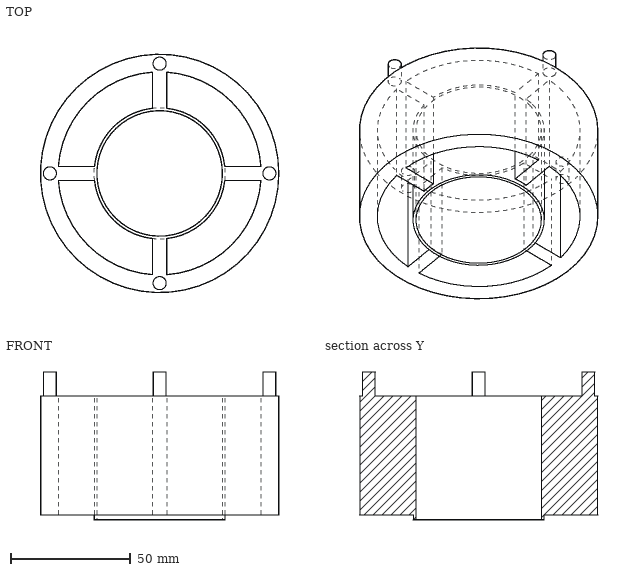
import cadquery as cq

ring_diameter = 100
ring_bore = 85
ring_height = 50

tube_diameter = 55
tube_bore = 52.5
tube_extension = 2

rib_width = 6
rib_count = 4

pin_diameter = 5.5
pin_height = 10
pin_circle_radius = 46


def hollow_cylinder(outer_diameter, bore, bottom, top):
    """Tube on the Z axis between two heights."""
    return (
        cq.Workplane("XY")
        .workplane(offset=bottom)
        .circle(outer_diameter / 2)
        .circle(bore / 2)
        .extrude(top - bottom)
    )


def rib(angle):
    """Radial wall running from mid tube wall to mid ring wall."""
    inner_end = (tube_diameter + tube_bore) / 4
    outer_end = (ring_diameter + ring_bore) / 4
    length = outer_end - inner_end
    wall = cq.Workplane("XY").box(length, rib_width, ring_height, centered=(False, True, False))
    return wall.translate((inner_end, 0, 0)).rotate((0, 0, 0), (0, 0, 1), angle)


def pins():
    """Round pins rising from the top of the ring."""
    return (
        cq.Workplane("XY")
        .workplane(offset=ring_height)
        .polarArray(pin_circle_radius, 0, 360, rib_count)
        .circle(pin_diameter / 2)
        .extrude(pin_height)
    )


result = hollow_cylinder(ring_diameter, ring_bore, 0, ring_height)
result = result.union(hollow_cylinder(tube_diameter, tube_bore, -tube_extension, ring_height))
for index in range(rib_count):
    result = result.union(rib(index * 360 / rib_count))
result = result.union(pins())